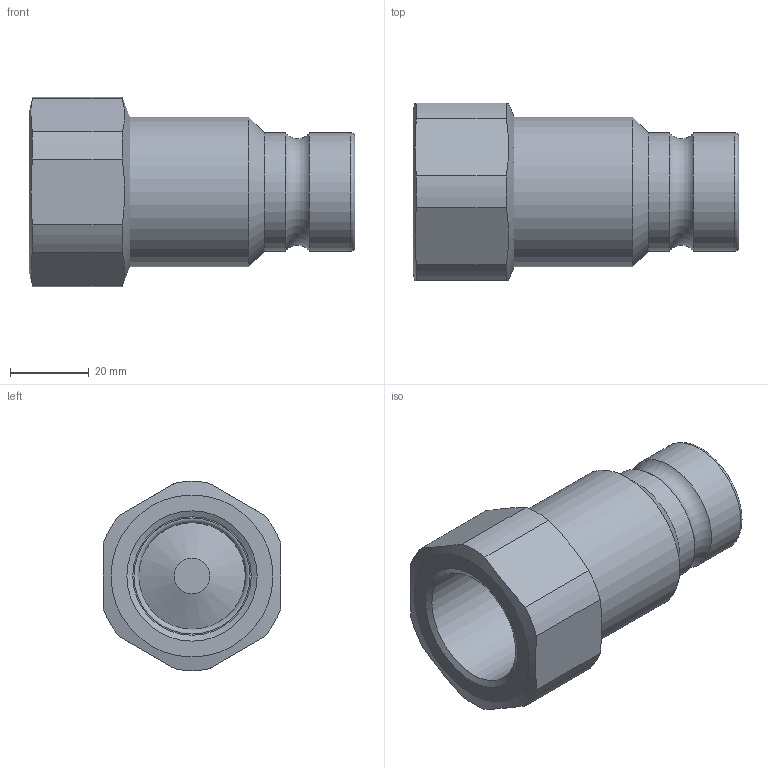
import cadquery as cq
import math

total_length = 82.5

head_sides = 6
across_flats = 45.0
head_radius = 24.0
front_face_radius = 20.5
front_chamfer_length = 0.8
rear_chamfer_start = 23.6
rear_chamfer_end = 25.5

body_radius = 19.0
body_end = 55.6
neck_radius = 15.0
shoulder_angle = 45.0
tip_fillet = 1.0

groove_centre = 68.0
groove_width = 6.0
groove_depth = 1.5

bore_radius = 15.0
bore_depth = 25.0
mouth_radius = 16.5
mouth_chamfer_length = 0.8
throat_radius = 13.5
throat_rounding = 1.2
throat_depth = 2.0
valve_tip_radius = 4.5
valve_cone_angle = 20.0


def arc_inset(radius):
    """Distance from the sharp corner of a quarter-round to its midpoint, along either side."""
    return radius * (1 - math.sqrt(0.5))


def make_outer_body():
    """Turned outline, revolved about the X axis."""
    shoulder_length = (body_radius - neck_radius) / math.tan(math.radians(shoulder_angle))
    groove_start = groove_centre - groove_width / 2
    groove_end = groove_centre + groove_width / 2
    fillet_mid = arc_inset(tip_fillet)
    return (
        cq.Workplane("XY")
        .moveTo(0, 0)
        .lineTo(0, front_face_radius)
        .lineTo(front_chamfer_length, head_radius)
        .lineTo(rear_chamfer_start, head_radius)
        .lineTo(rear_chamfer_end, body_radius)
        .lineTo(body_end, body_radius)
        .lineTo(body_end + shoulder_length, neck_radius)
        .lineTo(groove_start, neck_radius)
        .threePointArc((groove_centre, neck_radius - groove_depth), (groove_end, neck_radius))
        .lineTo(total_length - tip_fillet, neck_radius)
        .threePointArc(
            (total_length - fillet_mid, neck_radius - fillet_mid),
            (total_length, neck_radius - tip_fillet),
        )
        .lineTo(total_length, 0)
        .close()
        .revolve(360, (0, 0, 0), (1, 0, 0))
    )


def make_hexagon_envelope():
    """Hexagonal prism with two flats facing +Y and -Y, as long as the part."""
    half_side_angle = 180 / head_sides
    across_corners = across_flats / math.cos(math.radians(half_side_angle))
    return (
        cq.Workplane("YZ")
        .polygon(head_sides, across_corners)
        .extrude(total_length)
        .rotate((0, 0, 0), (1, 0, 0), half_side_angle)
    )


def make_bore():
    """Chamfered bore ending in a rounded throat around the conical valve face."""
    throat_floor = bore_depth + throat_depth
    cone_height = (throat_radius - valve_tip_radius) * math.tan(math.radians(valve_cone_angle))
    rounding_mid = arc_inset(throat_rounding)
    return (
        cq.Workplane("XY")
        .moveTo(0, 0)
        .lineTo(0, mouth_radius)
        .lineTo(mouth_chamfer_length, bore_radius)
        .lineTo(bore_depth, bore_radius)
        .lineTo(bore_depth, throat_radius + throat_rounding)
        .threePointArc(
            (bore_depth + rounding_mid, throat_radius + rounding_mid),
            (bore_depth + throat_rounding, throat_radius),
        )
        .lineTo(throat_floor, throat_radius)
        .lineTo(throat_floor - cone_height, valve_tip_radius)
        .lineTo(throat_floor - cone_height, 0)
        .close()
        .revolve(360, (0, 0, 0), (1, 0, 0))
    )


result = make_outer_body().intersect(make_hexagon_envelope()).cut(make_bore())